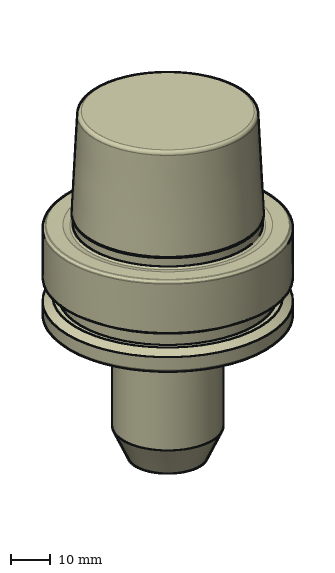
import cadquery as cq
import math

total_height = 96.9
seat_height = 64.9
flange_thickness = 26.0
flange_bottom = seat_height - flange_thickness

flange_radius = 31.5
flange_edge_chamfer = 0.8
flange_edge_blend = 0.3
recess_radius = 26.4
recess_depth = 0.4

groove_center = 46.9
groove_width = 3.9
groove_radius = 27.5
groove_lip_radius = 29.0
groove_wall_angle = 30.0
lip_rise = (flange_radius - groove_lip_radius) * math.tan(math.radians(groove_wall_angle))

taper_top_radius = 22.8
taper_start = 68.0
taper_slope = 1 / 20
taper_base_radius = taper_top_radius + taper_slope * (total_height - taper_start)
taper_top_fillet = 1.1
neck_radius = 23.9
neck_root_fillet = 0.6
neck_step = 0.5

stem_radius = 14.05
stem_tip_radius = 10.1
stem_tip_height = 8.5
stem_root_fillet = 1.5


def revolve_profile(points):
    """Revolve a closed (radius, height) outline around the Z axis."""
    return cq.Workplane("XZ").polyline(points).close().revolve(360, (0, 0, 0), (0, 1, 0))


def fillet_circle(body, radius, height, fillet_radius):
    """Round the circular edge that lies at the given radius and height."""
    margin = 0.05
    box = cq.selectors.BoxSelector(
        (-radius - margin, -radius - margin, height - margin),
        (radius + margin, radius + margin, height + margin),
        boundingbox=True,
    )
    edges = body.edges(box).edges(cq.selectors.RadiusNthSelector(-1))
    return body.newObject(edges.vals()).fillet(fillet_radius)


groove_bottom = groove_center - groove_width / 2
groove_top = groove_center + groove_width / 2
flange_face_radius = flange_radius - flange_edge_chamfer

stem_outline = [
    (0, 0),
    (stem_tip_radius, 0),
    (stem_radius, stem_tip_height),
    (stem_radius, flange_bottom),
]
flange_outline = [
    (flange_face_radius, flange_bottom),
    (flange_radius, flange_bottom + flange_edge_chamfer),
    (flange_radius, groove_bottom - lip_rise),
    (groove_lip_radius, groove_bottom),
    (groove_radius, groove_bottom),
    (groove_radius, groove_top),
    (groove_lip_radius, groove_top),
    (flange_radius, groove_top + lip_rise),
    (flange_radius, seat_height - flange_edge_chamfer),
    (flange_face_radius, seat_height),
]
shank_outline = [
    (recess_radius, seat_height),
    (neck_radius, seat_height - recess_depth),
    (neck_radius, taper_start - neck_step),
    (taper_base_radius, taper_start),
    (taper_top_radius, total_height),
    (0, total_height),
]

body = revolve_profile(stem_outline + flange_outline + shank_outline)
body = fillet_circle(body, taper_top_radius, total_height, taper_top_fillet)
body = fillet_circle(body, neck_radius, seat_height - recess_depth, neck_root_fillet)
for face_height, rim_height in (
    (seat_height, seat_height - flange_edge_chamfer),
    (flange_bottom, flange_bottom + flange_edge_chamfer),
):
    body = fillet_circle(body, flange_face_radius, face_height, flange_edge_blend)
    body = fillet_circle(body, flange_radius, rim_height, flange_edge_blend)
result = fillet_circle(body, stem_radius, flange_bottom, stem_root_fillet)